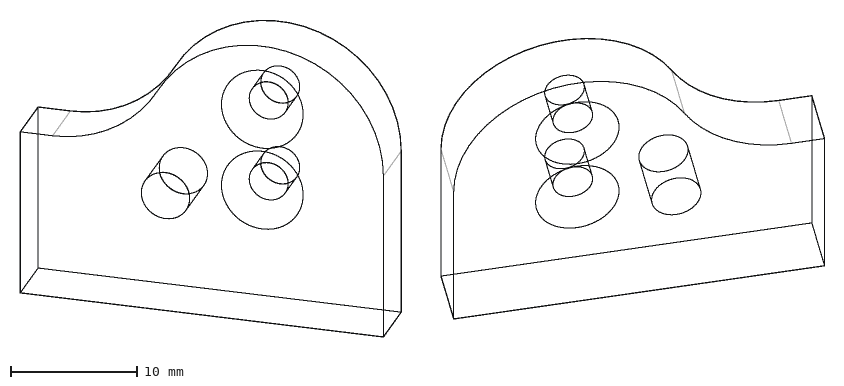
import cadquery as cq
import math

length = 30.0
thickness = 5.0
height = 24.0
lobe_radius = length / 3
shoulder_height = height - lobe_radius

lobe_x = length - lobe_radius
blend_radius = lobe_radius
blend_x = lobe_x - math.sqrt((lobe_radius + blend_radius) ** 2 - blend_radius ** 2)
blend_z = shoulder_height + blend_radius

plain_hole_diameter = 4.0
plain_hole_x = 12.0
plain_hole_z = 10.0
screw_hole_diameter = 3.2
countersink_diameter = 6.75
countersink_angle = 90.0
screw_hole_heights = (11.5, 18.5)


def point_on_arc(center_x, center_z, radius, degrees):
    angle = math.radians(degrees)
    return (center_x + radius * math.cos(angle), center_z + radius * math.sin(angle))


def make_plate():
    joint_angle = math.degrees(math.atan2(blend_z - shoulder_height, blend_x - lobe_x))
    joint = point_on_arc(lobe_x, shoulder_height, lobe_radius, joint_angle)
    lobe_middle = point_on_arc(lobe_x, shoulder_height, lobe_radius, joint_angle / 2)
    blend_middle_angle = (joint_angle - 180 - 90) / 2
    blend_middle = point_on_arc(blend_x, blend_z, blend_radius, blend_middle_angle)
    return (
        cq.Workplane("XZ")
        .lineTo(length, 0)
        .lineTo(length, shoulder_height)
        .threePointArc(lobe_middle, joint)
        .threePointArc(blend_middle, (blend_x, shoulder_height))
        .lineTo(0, shoulder_height)
        .close()
        .extrude(-thickness)
    )


def front_face(plate):
    return plate.faces("<Y").workplane(origin=(0, 0, 0))


def cut_plain_hole(plate):
    return front_face(plate).center(plain_hole_x, plain_hole_z).hole(plain_hole_diameter)


def cut_screw_holes(plate):
    centers = [(lobe_x, z) for z in screw_hole_heights]
    return (
        front_face(plate)
        .pushPoints(centers)
        .cskHole(screw_hole_diameter, countersink_diameter, countersink_angle)
    )


result = cut_screw_holes(cut_plain_hole(make_plate()))